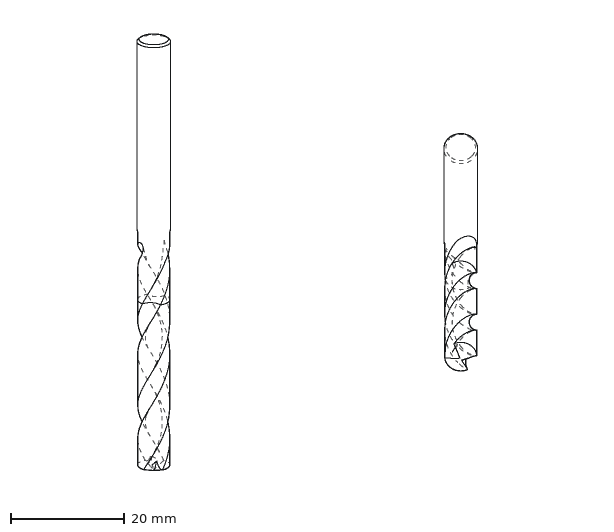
import cadquery as cq
import math

overall_length = 82.0
shank_length = 36.0
cutting_length = 32.5
flute_helix_top = 40.6
neck_cone_height = 0.6

shank_diameter = 6.0
drill_diameter = 5.7
shank_chamfer = 0.4
point_angle = 140.0

flute_count = 2
flute_lead = 32.2
flute_width_angle = 69.0
flute_floor_radius = 1.5
flute_start_angle = -85.0

runout_height = 5.0
runout_slope = 1.0

gash_core_radius = 0.2
gash_lean = 29.0
gash_lean_heading = -51.0
gash_left_heading = -125.0
gash_right_heading = -35.0
gash_height = 4.0

shank_radius = shank_diameter / 2
drill_radius = drill_diameter / 2
shank_bottom = overall_length - shank_length
point_height = drill_radius / math.tan(math.radians(point_angle / 2))
flute_twist_rate = 360 / flute_lead
cutter_outer_radius = 1.5 * drill_radius
gash_arm_length = shank_diameter


def polar(radius, angle):
    """X and Y of a point at this radius and angle in degrees."""
    angle_radians = math.radians(angle)
    return (radius * math.cos(angle_radians), radius * math.sin(angle_radians))


def revolved(profile):
    """Solid of revolution about Z from (radius, height) points."""
    return cq.Workplane("XZ").polyline(profile).close().revolve(360, (0, 0, 0), (0, 1, 0))


def leaning_prism(wire, drift, height):
    """Horizontal outline extruded upward while it drifts sideways."""
    face = cq.Face.makeFromWires(wire)
    return cq.Workplane(cq.Solid.extrudeLinear(face, cq.Vector(*drift, height)))


def flute_section(middle_angle, height):
    """Horizontal flute outline: an arc for the floor, open past the drill's surface."""
    start_angle = middle_angle - flute_width_angle / 2
    end_angle = middle_angle + flute_width_angle / 2
    return (
        cq.Workplane("XY", origin=(0, 0, height))
        .moveTo(*polar(drill_radius, start_angle))
        .threePointArc(polar(flute_floor_radius, middle_angle), polar(drill_radius, end_angle))
        .lineTo(*polar(cutter_outer_radius, end_angle))
        .lineTo(*polar(cutter_outer_radius, start_angle))
        .close()
    )


def flute_cutter(tip_angle, bottom, top):
    """Helical stretch, between two heights, of the flute that has this angle at the tip."""
    section = flute_section(tip_angle + flute_twist_rate * bottom, bottom)
    return section.twistExtrude(top - bottom, flute_twist_rate * (top - bottom))


def runout_cutter(tip_angle):
    """Straight end of a flute, sloping sideways until it leaves the drill."""
    top_angle = tip_angle + flute_twist_rate * flute_helix_top
    wire = flute_section(top_angle, flute_helix_top).wires().val()
    drift = polar(runout_slope * runout_height, top_angle + 90)
    return leaning_prism(wire, drift, runout_height)


def gash_cutter(turn):
    """V-groove that starts beside the axis at the tip and leans out into a flute."""
    lean_heading = gash_lean_heading + turn
    valley = cq.Vector(*polar(gash_core_radius, lean_heading))
    left = valley + cq.Vector(*polar(gash_arm_length, gash_left_heading + turn))
    right = valley + cq.Vector(*polar(gash_arm_length, gash_right_heading + turn))
    wire = cq.Wire.makePolygon([valley, left, right], close=True)
    drift = polar(gash_height * math.tan(math.radians(gash_lean)), lean_heading)
    return leaning_prism(wire, drift, gash_height)


flute_turns = [360 * i / flute_count for i in range(flute_count)]

cutting_part = revolved([
    (0, 0),
    (drill_radius, point_height),
    (drill_radius, cutting_length),
    (0, cutting_length),
])
for turn in flute_turns:
    cutting_part = cutting_part.cut(flute_cutter(flute_start_angle + turn, 0, cutting_length))
    cutting_part = cutting_part.cut(gash_cutter(turn))

shank = revolved([
    (0, cutting_length),
    (drill_radius, cutting_length),
    (drill_radius, shank_bottom - neck_cone_height),
    (shank_radius, shank_bottom),
    (shank_radius, overall_length - shank_chamfer),
    (shank_radius - shank_chamfer, overall_length),
    (0, overall_length),
])
for turn in flute_turns:
    shank = shank.cut(flute_cutter(flute_start_angle + turn, cutting_length, flute_helix_top))
    shank = shank.cut(runout_cutter(flute_start_angle + turn))

result = cq.Compound.makeCompound([cutting_part.val(), shank.val()])